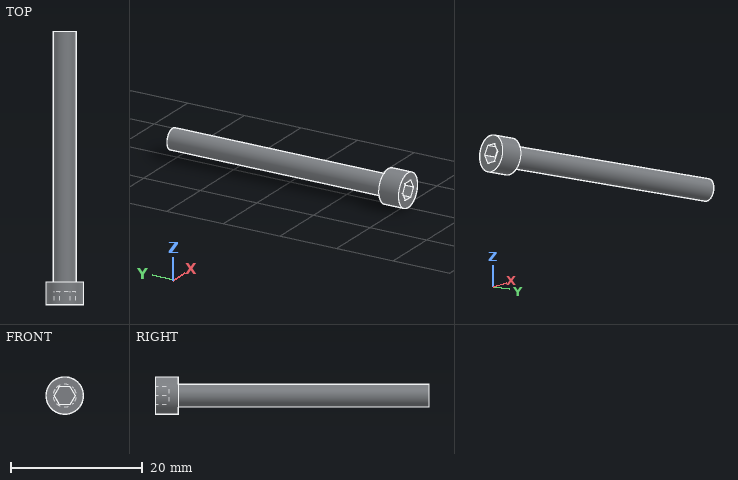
import cadquery as cq
import math

INCH = 25.4
shank_diameter = 0.138 * INCH
shank_length = 1.5 * INCH
head_diameter = 0.225 * INCH
head_height = shank_diameter
socket_across_flats = 7 / 64 * INCH
socket_depth = 0.08 * INCH

head_face_y = -head_height


def sketch_toward_plus_y(start_y):
    """Workplane across the screw axis at start_y, extruding toward +Y."""
    plane = cq.Plane(origin=(0, start_y, 0), xDir=(1, 0, 0), normal=(0, 1, 0))
    return cq.Workplane(plane)


def cylinder_along_y(diameter, start_y, length):
    """Solid cylinder on the Y axis, growing toward +Y from start_y."""
    return sketch_toward_plus_y(start_y).circle(diameter / 2).extrude(length)


def hex_socket():
    """Hexagonal recess cutter in the head face, with two corners on the X axis."""
    across_corners = socket_across_flats / math.cos(math.pi / 6)
    return sketch_toward_plus_y(head_face_y).polygon(6, across_corners).extrude(socket_depth)


head = cylinder_along_y(head_diameter, head_face_y, head_height)
shank = cylinder_along_y(shank_diameter, 0, shank_length)

result = head.union(shank).cut(hex_socket())